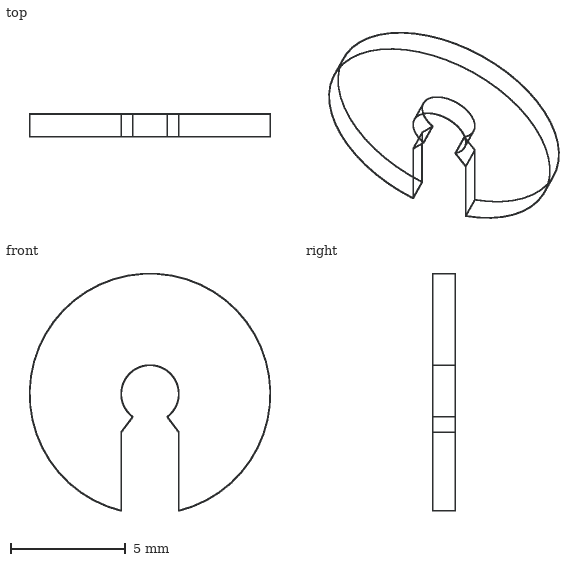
import cadquery as cq
import math

outer_diameter = 10.5
thickness = 1.0
bore_diameter = 2.5
throat_width = 1.5
slot_width = bore_diameter

outer_radius = outer_diameter / 2
bore_radius = bore_diameter / 2
throat_half = throat_width / 2
slot_half = slot_width / 2
throat_z = -math.sqrt(bore_radius**2 - throat_half**2)
shoulder_z = throat_z * slot_half / throat_half
rim_z = -math.sqrt(outer_radius**2 - slot_half**2)


def clip_profile():
    """Closed outline of the snap-on washer in the XZ plane, bore centre at the origin."""
    return (
        cq.Workplane("XZ")
        .moveTo(slot_half, rim_z)
        .threePointArc((0, outer_radius), (-slot_half, rim_z))
        .lineTo(-slot_half, shoulder_z)
        .lineTo(-throat_half, throat_z)
        .threePointArc((0, bore_radius), (throat_half, throat_z))
        .lineTo(slot_half, shoulder_z)
        .close()
    )


result = clip_profile().extrude(thickness / 2, both=True)